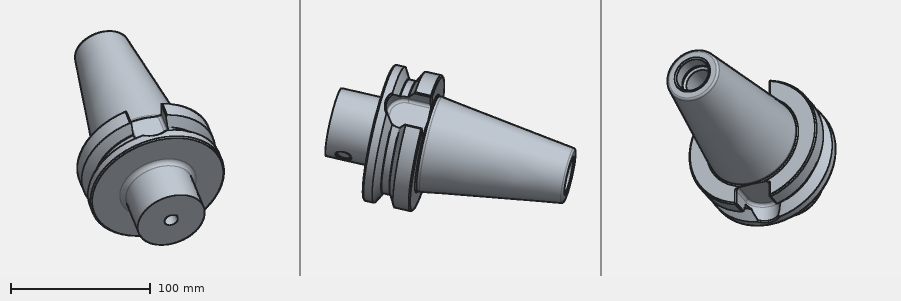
import cadquery as cq
import math

total_length = 173.8
match_tolerance = 0.09

gauge_x = 101.8
gauge_radius = 69.9 / 2
taper_slope = 7 / 24 / 2
tip_radius = gauge_radius - gauge_x * taper_slope
tip_fillet = 1.7
neck_fillet = 1.0

flange_radius = 100.0 / 2
flange_start_x = 104.8
flange_end_x = 140.0
flange_chamfer = 1.0
groove_radius = 41.9
groove_start_x = 122.0
groove_end_x = 128.1
groove_fillet = 0.5
groove_flank_angle = 30
groove_flank_length = (flange_radius - groove_radius) * math.tan(math.radians(groove_flank_angle))

spigot_radius = 50.0 / 2
spigot_fillet = 3.5

slot_half_width = 25.7 / 2
slot_floor_z = 35.1
slot_arc_x = groove_start_x
slot_end_x = slot_arc_x + slot_half_width
slot_floor_fillet = 2.3
slot_edge_chamfer = 1.0
slot_overrun = 3.5

mouth_radius = 28.0 / 2
mouth_depth = 0.5
pilot_radius = 25.0 / 2
pilot_end_x = 10.5
relief_radius = 25.4 / 2
relief_end_x = 11.8
thread_radius = 21.0 / 2
thread_end_x = 69.5
coolant_radius = 10.0 / 2
cone_half_angle = 60
radius_to_cone_length = 1 / math.tan(math.radians(cone_half_angle))
lead_in_length = (relief_radius - thread_radius) * radius_to_cone_length
drill_cone_length = (thread_radius - coolant_radius) * radius_to_cone_length

screw_radius = 10.0 / 2
screw_x = 160.5
screw_inner_y = 13.9
screw_outer_y = 23.5
screw_hole_chamfer = 1.0


def circles_at(body, x, radius):
    """Circular edges of the body around the X axis with this X and radius."""
    circles = [
        edge
        for edge in body.edges("%CIRCLE").vals()
        if abs(edge.arcCenter().x - x) < match_tolerance
        and abs(edge.radius() - radius) < match_tolerance
    ]
    return body.newObject(circles)


def revolve_about_x(outline):
    """Full turn of a closed outline about the X axis."""
    return outline.close().revolve(360, (0, 0, 0), (1, 0, 0))


def holder_blank():
    """Turned outside of the holder, without slots or holes."""
    outline = (
        cq.Workplane("XZ")
        .moveTo(0, 0)
        .lineTo(0, tip_radius)
        .lineTo(gauge_x, gauge_radius)
        .lineTo(flange_start_x, gauge_radius)
        .lineTo(flange_start_x, flange_radius)
        .lineTo(groove_start_x - groove_flank_length, flange_radius)
        .lineTo(groove_start_x, groove_radius)
        .lineTo(groove_end_x, groove_radius)
        .lineTo(groove_end_x + groove_flank_length, flange_radius)
        .lineTo(flange_end_x, flange_radius)
        .lineTo(flange_end_x, spigot_radius)
        .lineTo(total_length, spigot_radius)
        .lineTo(total_length, 0)
    )
    blank = revolve_about_x(outline)
    blank = circles_at(blank, 0, tip_radius).fillet(tip_fillet)
    blank = circles_at(blank, flange_start_x, gauge_radius).fillet(neck_fillet)
    blank = circles_at(blank, flange_end_x, spigot_radius).fillet(spigot_fillet)
    for corner_x in (groove_start_x, groove_end_x):
        blank = circles_at(blank, corner_x, groove_radius).fillet(groove_fillet)
    for face_x in (flange_start_x, flange_end_x):
        blank = circles_at(blank, face_x, flange_radius).chamfer(flange_chamfer)
    return blank


def slot_cutter():
    """Round-ended drive slot above the axis, flared at the flange face, with a filleted floor."""
    open_x = flange_start_x - slot_overrun
    flare_end_x = flange_start_x + slot_edge_chamfer
    flare_half_width = slot_half_width + slot_edge_chamfer
    cutter = (
        cq.Workplane("XY")
        .workplane(offset=slot_floor_z)
        .moveTo(open_x, -flare_half_width)
        .lineTo(flange_start_x, -flare_half_width)
        .lineTo(flare_end_x, -slot_half_width)
        .lineTo(slot_arc_x, -slot_half_width)
        .threePointArc((slot_end_x, 0), (slot_arc_x, slot_half_width))
        .lineTo(flare_end_x, slot_half_width)
        .lineTo(flange_start_x, flare_half_width)
        .lineTo(open_x, flare_half_width)
        .close()
        .extrude(flange_radius)
    )
    return cutter.faces("<Z").edges("not <X").fillet(slot_floor_fillet)


def is_slot_rim(edge):
    """True for the edges where a drive slot opens into the outside diameter of the flange."""
    middle = edge.positionAt(0.5)
    on_rim = abs(math.hypot(middle.y, middle.z) - flange_radius) < match_tolerance
    beside_slot = abs(middle.y) < slot_half_width + match_tolerance
    within_slot_length = middle.x < slot_end_x + match_tolerance
    return on_rim and beside_slot and within_slot_length


def chamfer_slot_rims(body):
    """Break the edges of the drive slots on the outside diameter of the flange."""
    rims = [edge for edge in body.edges().vals() if is_slot_rim(edge)]
    return body.newObject(rims).chamfer(slot_edge_chamfer)


def axial_bore():
    """Mouth chamfer, pilot bore, relief, thread core with drill cone, and coolant hole."""
    outline = (
        cq.Workplane("XZ")
        .moveTo(0, 0)
        .lineTo(0, mouth_radius)
        .lineTo(mouth_depth, pilot_radius)
        .lineTo(pilot_end_x, pilot_radius)
        .lineTo(pilot_end_x, relief_radius)
        .lineTo(relief_end_x, relief_radius)
        .lineTo(relief_end_x + lead_in_length, thread_radius)
        .lineTo(thread_end_x, thread_radius)
        .lineTo(thread_end_x + drill_cone_length, coolant_radius)
        .lineTo(total_length, coolant_radius)
        .lineTo(total_length, 0)
    )
    return revolve_about_x(outline)


def screw_cylinder(outer_y):
    """Cylinder on the screw axis, from the floor of the screw hole out to outer_y."""
    floor_center = cq.Vector(screw_x, screw_inner_y, 0)
    length = outer_y - screw_inner_y
    return cq.Workplane(cq.Solid.makeCylinder(screw_radius, length, floor_center, cq.Vector(0, 1, 0)))


def screw_hole_mouth():
    """45 degree countersink at the outer end of the screw hole."""
    small_end = cq.Vector(screw_x, spigot_radius - screw_hole_chamfer, 0)
    mouth_end_radius = screw_radius + screw_hole_chamfer
    return cq.Workplane(
        cq.Solid.makeCone(
            screw_radius, mouth_end_radius, screw_hole_chamfer, small_end, cq.Vector(0, 1, 0)
        )
    )


def make_holder():
    """Tool holder with drive slots, axial bore and the hole for the clamping screw."""
    body = holder_blank()
    for angle in (0, 180):
        body = body.cut(slot_cutter().rotate((0, 0, 0), (1, 0, 0), angle))
    body = chamfer_slot_rims(body)
    body = body.cut(axial_bore())
    body = body.cut(screw_cylinder(spigot_radius))
    return body.cut(screw_hole_mouth())


def make_clamping_screw():
    """Plain screw body that fills its hole up to just below the countersink."""
    return screw_cylinder(screw_outer_y)


holder = make_holder()
clamping_screw = make_clamping_screw()

result = cq.Compound.makeCompound([*holder.solids().vals(), *clamping_screw.solids().vals()])